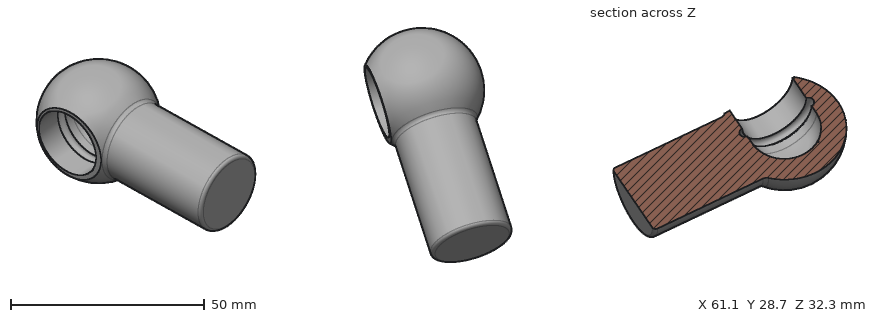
import cadquery as cq
import math

total_length = 61.15
ball_radius = 16.15
stem_radius = 11.0
stem_end_x = total_length - ball_radius
stem_end_fillet = 1.0
neck_fillet = 1.85

flat_distance = 12.1
flat_tilt = 2.4

socket_diameter = 19.0
socket_radius = socket_diameter / 2
groove_y = -3.85
groove_section_radius = 1.35


def ball_and_stem():
    """Revolve the ball, its filleted neck and the stem about the X axis."""
    fillet_y = stem_radius + neck_fillet
    fillet_x = math.sqrt((ball_radius + neck_fillet) ** 2 - fillet_y**2)
    tangent_ratio = ball_radius / (ball_radius + neck_fillet)
    tangent_point = (fillet_x * tangent_ratio, fillet_y * tangent_ratio)
    mid_angle = (math.atan2(-fillet_y, -fillet_x) - math.pi / 2) / 2
    fillet_mid = (
        fillet_x + neck_fillet * math.cos(mid_angle),
        fillet_y + neck_fillet * math.sin(mid_angle),
    )
    profile = (
        cq.Workplane("XY")
        .moveTo(-ball_radius, 0)
        .threePointArc((0, ball_radius), tangent_point)
        .threePointArc(fillet_mid, (fillet_x, stem_radius))
        .lineTo(stem_end_x, stem_radius)
        .lineTo(stem_end_x, 0)
        .close()
    )
    body = profile.revolve(360, (0, 0, 0), (1, 0, 0))
    return body.faces(">X").edges().fillet(stem_end_fillet)


def flat_cutter():
    """Block whose inner face is the sloped flat."""
    size = 2 * ball_radius
    return (
        cq.Workplane("XY")
        .box(size, size, size)
        .translate((0, -flat_distance - size / 2, 0))
        .rotate((0, 0, 0), (0, 0, 1), flat_tilt)
    )


def socket_cutter():
    """Revolve a bore along Y with a hemispherical end and a half-round groove."""
    dome_mid = socket_radius * math.sqrt(0.5)
    profile = (
        cq.Workplane("XY")
        .moveTo(0, -ball_radius)
        .lineTo(socket_radius, -ball_radius)
        .lineTo(socket_radius, groove_y - groove_section_radius)
        .threePointArc(
            (socket_radius + groove_section_radius, groove_y),
            (socket_radius, groove_y + groove_section_radius),
        )
        .lineTo(socket_radius, 0)
        .threePointArc((dome_mid, dome_mid), (0, socket_radius))
        .close()
    )
    return profile.revolve(360, (0, 0, 0), (0, 1, 0))


result = ball_and_stem().cut(flat_cutter()).cut(socket_cutter())